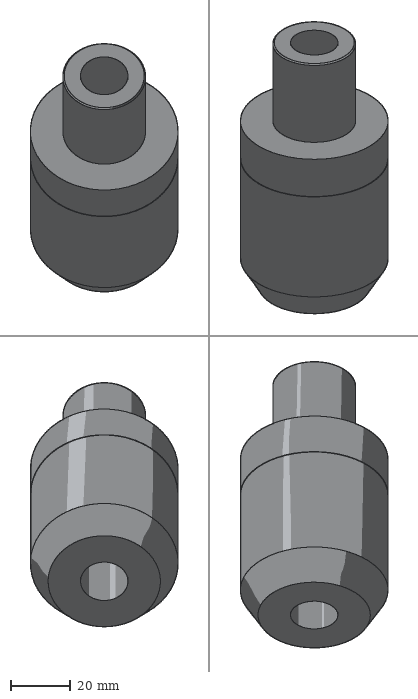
import cadquery as cq

total_height = 96.0
body_diameter = 50.0
stem_diameter = 28.0
bore_diameter = 16.0
nose_diameter = 38.0
nose_height = 10.4
body_top = 65.0
seam_height = 50.1
seam_width = 0.1
seam_depth = 0.1
stem_chamfer = 0.5


def make_cylinder(diameter, bottom, top):
    """Vertical cylinder on the part axis between two heights."""
    return cq.Workplane("XY").workplane(offset=bottom).circle(diameter / 2).extrude(top - bottom)


def make_nose():
    """Conical lower end, widening up to the body diameter."""
    return (
        cq.Workplane("XY")
        .circle(nose_diameter / 2)
        .workplane(offset=nose_height)
        .circle(body_diameter / 2)
        .loft(ruled=True)
    )


def make_seam_groove():
    """Shallow ring cut around the body between its two sections."""
    bottom = seam_height - seam_width / 2
    top = seam_height + seam_width / 2
    ring = make_cylinder(body_diameter, bottom, top)
    return ring.cut(make_cylinder(body_diameter - 2 * seam_depth, bottom, top))


body = make_cylinder(body_diameter, nose_height, body_top)
stem = make_cylinder(stem_diameter, body_top, total_height).faces(">Z").chamfer(stem_chamfer)
bore = make_cylinder(bore_diameter, 0, total_height)

result = make_nose().union(body).union(stem).cut(make_seam_groove()).cut(bore)